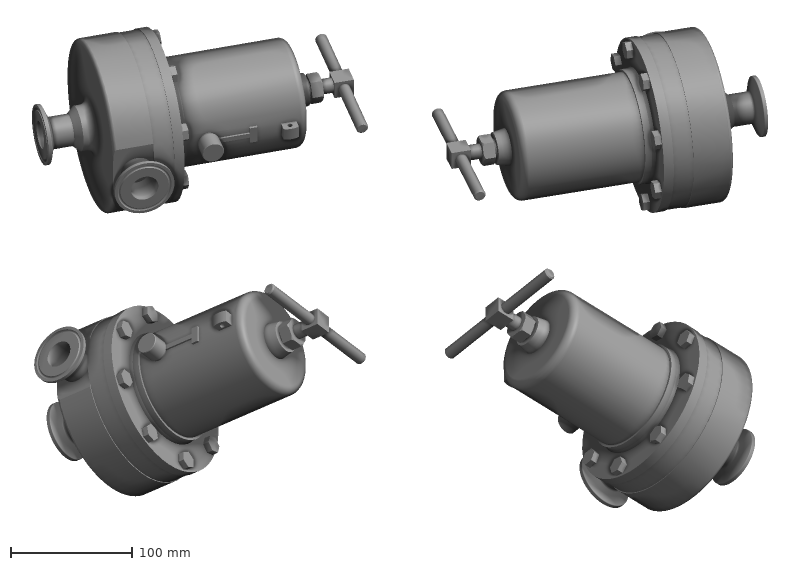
import cadquery as cq


ferrule_radius = 25.5
rim_thickness = 3.2
rim_back_fillet = 0.8
pipe_radius = 13.5
cone_length = 4.8
cone_pipe_fillet = 1.5
bore_radius = 11.7
gasket_groove_radius = 21.8
gasket_groove_width = 2.5
gasket_groove_depth = 1.0

reducer_start = 25.3
neck_radius = 19.2
reducer_end = 31.7
flare_start = 36.5

body_bottom = 43.2
flare_radius = neck_radius + (body_bottom - flare_start)
body_top = 77.5
body_radius = 73.3
body_fillet = 3.2
outlet_flat_x = 68.7
outlet_face_x = 92.7
outlet_y = 63.5

spacer_radius = 72.5
flange_bottom = 94.5
flange_top = 103.0

bolt_count = 8
bolt_circle_radius = 64.5
bolt_corner_diameter = 15.5
bolt_head_height = 5.5
bolt_sector = 360 / bolt_count

collar_base_radius = 49.0
collar_radius = 48.2
collar_bottom = 106.0
collar_top = 112
bonnet_radius = 46.0
bonnet_top = 217.0
bonnet_fillet = 6.5

seat_base_radius = 15.7
seat_top_radius = 13.5
seat_top = 227.5
nut_bottom = 229.7
nut_top = 239.8
nut_corner_diameter = 25.5
nut_chamfer = 1.3
nut_seat_radius = 8.8
stem_radius = 6.5

overall_length = 266.5
block_width = 15.7
block_length = 16.5
handle_radius = 5.0
handle_length = 127.4
handle_chamfer = 1.0

tab_reach = 55.0
tab_bottom = 193.5
tab_top = 206.5
tab_thickness = 10.7
tab_end_bulge = 1.3
tab_hole_x = 49.8
tab_hole_diameter = 4.3
vent_y = 130.8
vent_radius = 9.3
vent_reach = 62.0
vent_pad_radius = 8.5
vent_chamfer = 0.5
pad_reach = 47.7
pad_head_width = 15.0
pad_head_bottom = 166.3
pad_top = 172.7
pad_strip_width = 4.3
joint_overlap = 5.3
fitting_root = bonnet_radius - joint_overlap


def turned(outline):
    """Revolve a closed (Y, radius) outline about the Y axis."""
    return outline.close().revolve(360, (0, 0), (1, 0))


def profile():
    return cq.Workplane("YZ")


def disc(y_start, y_end, radius):
    """Cylinder about the Y axis."""
    return turned(profile().moveTo(y_start, 0).lineTo(y_start, radius).lineTo(y_end, radius).lineTo(y_end, 0))


def hex_prism(y_start, height, corner_diameter):
    """Hexagonal prism along Y with two corners on the X axis."""
    plane = cq.Plane(origin=(0, y_start, 0), xDir=(1, 0, 0), normal=(0, 1, 0))
    return cq.Workplane(plane).polygon(6, corner_diameter).extrude(height)


def rod_along_x(x_start, x_end, y, radius):
    """Cylinder parallel to X at height y."""
    return cq.Workplane("YZ", origin=(x_start, 0, 0)).center(y, 0).circle(radius).extrude(x_end - x_start)


def round_ring(solid, y, radius):
    """Fillet the circular edge of a turned solid at height y."""
    reach = body_radius
    tolerance = 0.13
    low_corner = (-reach, y - tolerance, -reach)
    high_corner = (reach, y + tolerance, reach)
    ring = cq.selectors.BoxSelector(low_corner, high_corner)
    return solid.edges("%CIRCLE").edges(ring).fillet(radius)


def ferrule(length):
    """Clamp ferrule and pipe, facing -Y with its face at Y = 0."""
    cone_end = rim_thickness + cone_length
    solid = turned(
        profile()
        .moveTo(0, 0)
        .lineTo(0, ferrule_radius)
        .lineTo(rim_thickness, ferrule_radius)
        .lineTo(cone_end, pipe_radius)
        .lineTo(length, pipe_radius)
        .lineTo(length, 0)
    )
    solid = round_ring(solid, cone_end, cone_pipe_fillet)
    return round_ring(solid, rim_thickness, rim_back_fillet)


def ferrule_cut(bore_depth):
    """Blind bore and rounded gasket groove of a ferrule facing -Y at Y = 0."""
    inner = gasket_groove_radius - gasket_groove_width / 2
    outer = gasket_groove_radius + gasket_groove_width / 2
    groove = turned(
        profile().moveTo(0, inner).threePointArc((gasket_groove_depth, gasket_groove_radius), (0, outer))
    )
    return disc(0, bore_depth, bore_radius).union(groove)


def to_outlet(shape):
    """Turn a shape from the inlet position to the outlet position."""
    return shape.rotate((0, 0, 0), (0, 0, 1), 90).translate((outlet_face_x, outlet_y, 0))


def make_inlet_neck():
    return turned(
        profile()
        .moveTo(reducer_start, 0)
        .lineTo(reducer_start, pipe_radius)
        .lineTo(reducer_end, neck_radius)
        .lineTo(flare_start, neck_radius)
        .tangentArcPoint((body_bottom, flare_radius), relative=False)
        .lineTo(body_bottom, 0)
    )


def make_body():
    body = disc(body_bottom, body_top, body_radius).faces("<Y").edges().fillet(body_fillet)
    size = 2 * body_radius
    beyond_flat = cq.Workplane("XY").box(size, size, size, centered=(False, True, True))
    return body.cut(beyond_flat.translate((outlet_flat_x, body_bottom, 0)))


def make_bolts():
    bolts = cq.Workplane("XY")
    head = hex_prism(flange_top, bolt_head_height, bolt_corner_diameter)
    head = head.rotate((0, 0, 0), (0, 1, 0), -bolt_sector / 2).translate((bolt_circle_radius, 0, 0))
    for index in range(bolt_count):
        angle = (index + 0.5) * bolt_sector
        bolts = bolts.union(head.rotate((0, 0, 0), (0, 1, 0), angle))
    return bolts


def make_bonnet():
    collar = turned(
        profile()
        .moveTo(flange_top, 0)
        .lineTo(flange_top, collar_base_radius)
        .lineTo(collar_bottom, collar_radius)
        .lineTo(collar_top, collar_radius)
        .lineTo(collar_top, 0)
    )
    shell = disc(flange_top, bonnet_top, bonnet_radius).faces(">Y").edges().fillet(bonnet_fillet)
    return shell.union(collar)


def make_nut():
    """Hexagon nut with its upper corners turned down to a cone."""
    nut_radius = nut_corner_diameter / 2
    envelope = disc(nut_bottom, nut_top, nut_radius).faces(">Y").edges().chamfer(nut_chamfer)
    return hex_prism(nut_bottom, nut_top - nut_bottom, nut_corner_diameter).intersect(envelope)


def make_spindle():
    seat = turned(
        profile()
        .moveTo(bonnet_top, 0)
        .lineTo(bonnet_top, seat_base_radius)
        .lineTo(seat_top, seat_top_radius)
        .lineTo(seat_top, 0)
    )
    nut_seat = disc(seat_top, nut_bottom, nut_seat_radius)
    stem = disc(nut_top, overall_length - block_length, stem_radius)
    return seat.union(nut_seat).union(make_nut()).union(stem)


def make_handle():
    block_y = overall_length - block_length / 2
    block = cq.Workplane("XY").box(block_width, block_length, block_width).translate((0, block_y, 0))
    bar = rod_along_x(-handle_length / 2, handle_length / 2, block_y, handle_radius)
    bar = bar.faces("<X or >X").edges().chamfer(handle_chamfer)
    return block.union(bar)


def side_plate(reach, y_start, y_end, width):
    """Plate standing out of the bonnet along +X, centred on Z = 0."""
    plate = cq.Workplane("XY").box(reach - fitting_root, y_end - y_start, width, centered=(False, False, True))
    return plate.translate((fitting_root, y_start, 0))


def make_tab():
    """Lug with a bowed outer end and a hole through it along Z."""
    shoulder = tab_reach - tab_end_bulge
    hole_y = (tab_bottom + tab_top) / 2
    outline = (
        cq.Workplane("XY")
        .moveTo(fitting_root, tab_bottom)
        .lineTo(shoulder, tab_bottom)
        .threePointArc((tab_reach, hole_y), (shoulder, tab_top))
        .lineTo(fitting_root, tab_top)
        .close()
    )
    tab = outline.extrude(tab_thickness / 2, both=True)
    hole = cq.Workplane("XY").center(tab_hole_x, hole_y).circle(tab_hole_diameter / 2)
    return tab.cut(hole.extrude(tab_thickness, both=True))


def make_vent():
    pad_disc = rod_along_x(fitting_root, pad_reach, vent_y, vent_pad_radius)
    boss = rod_along_x(pad_reach, vent_reach, vent_y, vent_radius).faces(">X").edges().chamfer(vent_chamfer)
    pad_head = side_plate(pad_reach, pad_head_bottom, pad_top, pad_head_width)
    pad_strip = side_plate(pad_reach, vent_y, pad_head_bottom, pad_strip_width)
    return boss.union(pad_disc).union(pad_head).union(pad_strip)


outlet_length = outlet_face_x - outlet_flat_x

result = ferrule(reducer_start).union(make_inlet_neck())
result = result.union(make_body())
result = result.union(to_outlet(ferrule(outlet_length)))
result = result.union(disc(body_top, flange_bottom, spacer_radius))
result = result.union(disc(flange_bottom, flange_top, body_radius))
result = result.union(make_bolts())
result = result.union(make_bonnet())
result = result.union(make_spindle())
result = result.union(make_handle())
result = result.union(make_tab())
result = result.union(make_vent())
result = result.cut(ferrule_cut(body_bottom))
result = result.cut(to_outlet(ferrule_cut(outlet_length)))